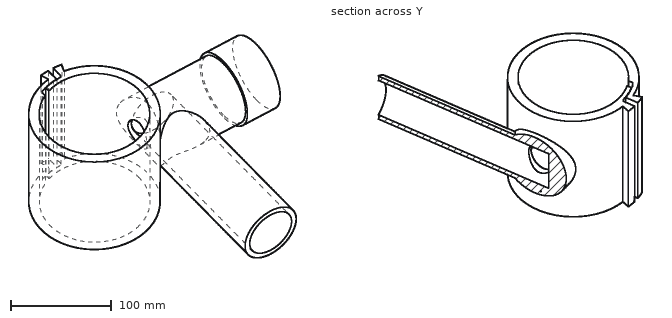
import cadquery as cq
import math

RING_HEIGHT = 128.0
RING_INNER_R = 55.0
RING_OUTER_R = 65.5
SPLIT_R = 60.0
SPLIT_CLEARANCE = 0.15
TONGUE_END_Y = -18.5
RECESS_END_Y = -25.3
OVERCUT = 1.0
SLOT_HALF_WIDTH = 3.0
SLOT_FILLET = 2.8
RECESS_FILLET = 2.4

LUG_OUTER_R = 74.5
LUG_TIP_HALF_WIDTH = 12.7
LUG_ROOT_HALF_WIDTH = 9.6

STACK_R = 37.5
CAP_R = 40.75
CAP_START_Y = 158.3
CAP_END_Y = 198.6
DOME_HEIGHT = 8.04

BRANCH_Y = 82.6
BRANCH_R = 31.5
BRANCH_WALL = 5.8
BRANCH_END_X = 185.0

PORT_R = 16.0

BRANCH_BORE_R = BRANCH_R - BRANCH_WALL


def bottom_plane():
    """Sketch plane on the lower end of the ring."""
    return cq.Workplane("XY", origin=(0, 0, -RING_HEIGHT / 2))


def left_on_circle(radius, y):
    """Point at height y on the -X half of a circle about the origin."""
    return (-math.sqrt(radius**2 - y**2), y)


def cylinder_z(radius):
    return bottom_plane().circle(radius).extrude(RING_HEIGHT)


def cylinder_y(radius, start, end):
    return cq.Workplane("XZ", origin=(0, start, 0)).circle(radius).extrude(start - end)


def cylinder_x(radius, start, end):
    return cq.Workplane("YZ", origin=(start, BRANCH_Y, 0)).circle(radius).extrude(end - start)


def make_lugs():
    """Both lugs as one block, flaring outward; the slot later parts them."""
    tip = left_on_circle(LUG_OUTER_R, LUG_TIP_HALF_WIDTH)
    root = left_on_circle(RING_OUTER_R, LUG_ROOT_HALF_WIDTH)
    inside = left_on_circle(SPLIT_R, LUG_ROOT_HALF_WIDTH)
    return (
        bottom_plane()
        .moveTo(*inside)
        .lineTo(*root)
        .lineTo(*tip)
        .threePointArc((-LUG_OUTER_R, 0), (tip[0], -tip[1]))
        .lineTo(root[0], -root[1])
        .lineTo(inside[0], -inside[1])
        .close()
        .extrude(RING_HEIGHT)
    )


def band(inner_r, outer_r, top_y, bottom_y):
    """Stretch of a ring on the -X side between two flat ends across Y."""
    mid_y = (top_y + bottom_y) / 2
    return (
        bottom_plane()
        .moveTo(*left_on_circle(inner_r, top_y))
        .lineTo(*left_on_circle(outer_r, top_y))
        .threePointArc(left_on_circle(outer_r, mid_y), left_on_circle(outer_r, bottom_y))
        .lineTo(*left_on_circle(inner_r, bottom_y))
        .threePointArc(left_on_circle(inner_r, mid_y), left_on_circle(inner_r, top_y))
        .close()
        .extrude(RING_HEIGHT)
    )


def make_split():
    """Cutter for the lapped split: slot between the lugs, lap gap and recess."""
    tongue_r = SPLIT_R - SPLIT_CLEARANCE
    recess_r = SPLIT_R + SPLIT_CLEARANCE
    slot_outer_r = LUG_OUTER_R + OVERCUT
    recess_inner_r = RING_INNER_R - OVERCUT
    slot = band(tongue_r, slot_outer_r, SLOT_HALF_WIDTH, -SLOT_HALF_WIDTH)
    slot_corner = cq.selectors.NearestToPointSelector((*left_on_circle(tongue_r, SLOT_HALF_WIDTH), 0))
    slot = slot.edges("|Z").edges(slot_corner).fillet(SLOT_FILLET)
    lap_gap = band(tongue_r, recess_r, 0, TONGUE_END_Y)
    recess = band(recess_inner_r, recess_r, TONGUE_END_Y, RECESS_END_Y)
    recess_corner = cq.selectors.NearestToPointSelector((*left_on_circle(recess_r, RECESS_END_Y), 0))
    recess = recess.edges("|Z").edges(recess_corner).fillet(RECESS_FILLET)
    return slot.union(lap_gap).union(recess)


def make_stack():
    """Pipe along Y with a wider cap closed by a shallow dome."""
    pipe = cylinder_y(STACK_R, 0, CAP_START_Y)
    dome_r = (CAP_R**2 + DOME_HEIGHT**2) / (2 * DOME_HEIGHT)
    dome_top_y = CAP_END_Y + DOME_HEIGHT
    half_x = CAP_R / 2
    half_y = dome_top_y - dome_r + math.sqrt(dome_r**2 - half_x**2)
    cap = (
        cq.Workplane("XY")
        .moveTo(0, CAP_START_Y)
        .lineTo(CAP_R, CAP_START_Y)
        .lineTo(CAP_R, CAP_END_Y)
        .threePointArc((half_x, half_y), (0, dome_top_y))
        .close()
        .revolve(360, (0, 0, 0), (0, 1, 0))
    )
    return pipe.union(cap)


body = cylinder_z(RING_OUTER_R).union(make_lugs())
body = body.union(make_stack())
body = body.union(cylinder_x(BRANCH_R, 0, BRANCH_END_X))
body = body.cut(cylinder_z(RING_INNER_R))
body = body.cut(make_split())
body = body.cut(cylinder_x(BRANCH_BORE_R, -PORT_R, BRANCH_END_X))
result = body.cut(cylinder_y(PORT_R, 0, BRANCH_Y))